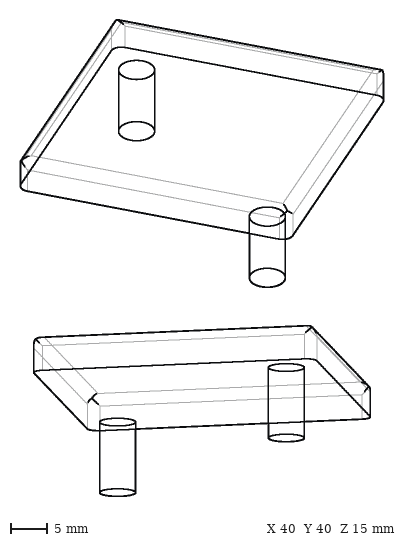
import cadquery as cq

plate_side = 40.0
plate_thickness = 5.0
edge_radius = 1.5

peg_diameter = 5.0
peg_length = 10.0
peg_spacing = 30.0
peg_offset = peg_spacing / 2
peg_centers = [(-peg_offset, peg_offset), (peg_offset, -peg_offset)]


def rounded_block(edge_selector):
    """Plate-sized block standing on Z = 0 with only the selected edges rounded."""
    block = cq.Workplane("XY").box(
        plate_side, plate_side, plate_thickness, centered=(True, True, False)
    )
    return block.edges(edge_selector).fillet(edge_radius)


def make_plate():
    """Common volume of three blocks, so the rounded edges meet in mitres at the top corners."""
    plate = rounded_block("|Z")
    for rim_edges in ("|X and >Z", "|Y and >Z"):
        plate = plate.intersect(rounded_block(rim_edges))
    return plate


def make_pegs():
    """Pegs hanging down from the underside of the plate."""
    return (
        cq.Workplane("XY")
        .pushPoints(peg_centers)
        .circle(peg_diameter / 2)
        .extrude(-peg_length)
    )


result = make_plate().union(make_pegs())